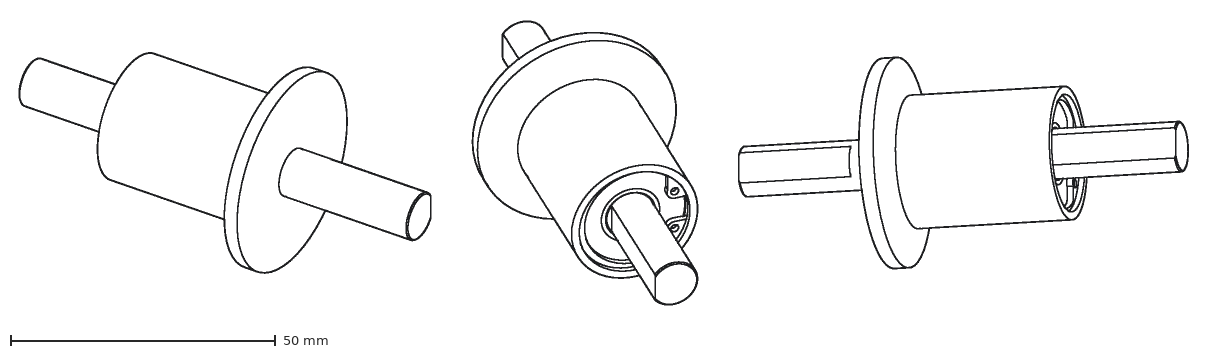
import cadquery as cq
import math

shaft_length = 86.1
shaft_diameter = 9.6
shaft_chamfer = 0.3
flat_height = 3.8
far_flat_length = 22.05

housing_start = 22.3
housing_diameter = 25.3
flange_diameter = 39.9
cone_start = 52.6
rim_start = 54.85
housing_end = 57.7

bearing_diameter = 22.2
bearing_width = 7.15
bearing_chamfer = 0.215
inner_race_diameter = 11.7

circlip_recess = 1.1
circlip_thickness = 1.2
circlip_diameter = 23.7
circlip_opening_radius = 10.25
circlip_opening_offset = 0.6
circlip_gap = 5.3
lug_hole_diameter = 1.55
lug_hole_y = -8.4
lug_hole_z = 4.2
lug_radius = lug_hole_z - circlip_gap / 2
lug_neck_y = -7.1
lug_neck_top = 8.1
lug_neck_fillet = 1.0

circlip_start = housing_start + circlip_recess
bearing_start = circlip_start + circlip_thickness
bearing_end = bearing_start + bearing_width


def cylinder(start, end, diameter):
    """Solid cylinder about the X axis."""
    return cq.Workplane("YZ", origin=(start, 0, 0)).circle(diameter / 2).extrude(end - start)


def make_shaft():
    """Round shaft with chamfered ends and a flat at each end."""
    shaft = cylinder(0, shaft_length, shaft_diameter).faces("<X or >X").chamfer(shaft_chamfer)
    flat_spans = [(0, bearing_start), (shaft_length - far_flat_length, shaft_length)]
    for flat_start, flat_end in flat_spans:
        above_flat = cq.Workplane("XY").box(
            flat_end - flat_start, shaft_diameter, shaft_diameter, centered=(False, False, True)
        )
        shaft = shaft.cut(above_flat.translate((flat_start, flat_height, 0)))
    return shaft


def make_housing():
    """Flanged sleeve with a shaft bore, a bearing seat and a circlip groove."""
    profile = [
        (housing_start, 0),
        (housing_start, housing_diameter / 2),
        (cone_start, housing_diameter / 2),
        (rim_start, flange_diameter / 2),
        (housing_end, flange_diameter / 2),
        (housing_end, 0),
    ]
    housing = cq.Workplane("XY").polyline(profile).close().revolve(360, (0, 0, 0), (1, 0, 0))
    shaft_bore = cylinder(housing_start, housing_end, shaft_diameter)
    bearing_seat = cylinder(housing_start, bearing_end, bearing_diameter)
    circlip_groove = cylinder(circlip_start, bearing_start, circlip_diameter)
    return housing.cut(shaft_bore).cut(bearing_seat).cut(circlip_groove)


def make_inner_race():
    """Bearing inner race with chamfered bore edges."""
    race = cylinder(bearing_start, bearing_end, inner_race_diameter)
    race = race.cut(cylinder(bearing_start, bearing_end, shaft_diameter))
    return race.edges("%CIRCLE").edges(cq.selectors.RadiusNthSelector(0)).chamfer(bearing_chamfer)


def make_outer_race():
    """Bearing outer race and shield, with chamfered outer edges."""
    race = cylinder(bearing_start, bearing_end, bearing_diameter)
    race = race.faces("<X or >X").chamfer(bearing_chamfer)
    return race.cut(cylinder(bearing_start, bearing_end, inner_race_diameter))


def circlip_block(y_inner, z_low, z_high):
    """Block of circlip thickness reaching from y_inner out past the rim in -Y."""
    block = cq.Workplane("XY").box(
        circlip_thickness, circlip_diameter, z_high - z_low, centered=False
    )
    return block.translate((circlip_start, y_inner - circlip_diameter, z_low))


def make_circlip():
    """Internal retaining ring with an eccentric opening and two drilled lugs."""
    disc = cylinder(circlip_start, bearing_start, circlip_diameter)
    opening = cylinder(circlip_start, bearing_start, 2 * circlip_opening_radius)
    circlip = disc.cut(opening.translate((0, -circlip_opening_offset, 0)))
    for side in (-1, 1):
        lug_end = cylinder(circlip_start, bearing_start, 2 * lug_radius)
        lug = lug_end.translate((0, lug_hole_y, lug_hole_z))
        lug = lug.union(circlip_block(lug_hole_y, circlip_gap / 2, lug_hole_z))
        lug = lug.union(circlip_block(lug_neck_y, lug_hole_z, lug_neck_top))
        if side < 0:
            lug = lug.mirror("XY")
        hole = cylinder(circlip_start, bearing_start, lug_hole_diameter)
        hole = hole.translate((0, lug_hole_y, side * lug_hole_z))
        circlip = circlip.union(lug.intersect(disc)).cut(hole)
        corner_z = math.sqrt(circlip_opening_radius**2 - (lug_neck_y + circlip_opening_offset) ** 2)
        corner = (circlip_start + circlip_thickness / 2, lug_neck_y, side * corner_z)
        neck_corner = circlip.edges("|X").edges(cq.selectors.NearestToPointSelector(corner))
        circlip = neck_corner.fillet(lug_neck_fillet)
    return circlip.cut(circlip_block(lug_hole_y, -circlip_gap / 2, circlip_gap / 2))


shaft = make_shaft()
housing = make_housing()
inner_race = make_inner_race()
outer_race = make_outer_race()
circlip = make_circlip()

result = cq.Compound.makeCompound(
    [shaft.val(), housing.val(), inner_race.val(), outer_race.val(), circlip.val()]
)